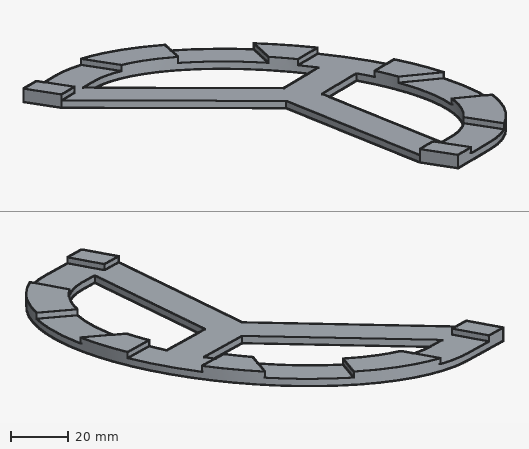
import cadquery as cq

width = 170.0
band = 15.0
thickness = 5.0
base_thickness = 2.7
arch_center_y = 25.0
arch_rise = 65.0
apex_y = 35.0
slot_angles = (0, 45, 90, 135)

half_width = width / 2
inner_half_width = half_width - band
slot_width = 2 * band
slot_length = 2 * width
leg_slope = apex_y / inner_half_width
leg_height = band * (1 + leg_slope**2) ** 0.5


def arch(half_span, rise, height):
    """Plate with straight sides from Y = 0 and a half-ellipse on top."""
    return (
        cq.Workplane("XY")
        .moveTo(-half_span, 0)
        .lineTo(half_span, 0)
        .lineTo(half_span, arch_center_y)
        .ellipseArc(half_span, rise, 0, 180, startAtCurrent=True)
        .close()
        .extrude(height)
    )


def make_rim():
    outer = arch(half_width, arch_rise, thickness)
    inner = arch(inner_half_width, arch_rise - band, thickness)
    return outer.cut(inner)


def cut_slots(rim):
    """Cut the rim down to the base in slots that all cross the arch center."""
    for angle in slot_angles:
        slot = (
            cq.Workplane("XY")
            .box(slot_length, slot_width, thickness, centered=(True, True, False))
            .rotate((0, 0, 0), (0, 0, 1), angle)
            .translate((0, arch_center_y, base_thickness))
        )
        rim = rim.cut(slot)
    return rim


def make_legs():
    """Two sloping legs forming an inverted V between the rim ends."""
    points = [
        (-inner_half_width, 0),
        (0, apex_y),
        (inner_half_width, 0),
        (inner_half_width, leg_height),
        (0, apex_y + leg_height),
        (-inner_half_width, leg_height),
    ]
    return cq.Workplane("XY").polyline(points).close().extrude(base_thickness)


def make_spoke():
    """Upright bar from the legs to the middle of the rim."""
    spoke_top = arch_center_y + arch_rise - band / 2
    length = spoke_top - apex_y - leg_height / 2
    return (
        cq.Workplane("XY")
        .box(band, length, base_thickness, centered=(True, False, False))
        .translate((0, spoke_top - length, 0))
    )


result = cut_slots(make_rim()).union(make_legs()).union(make_spoke())